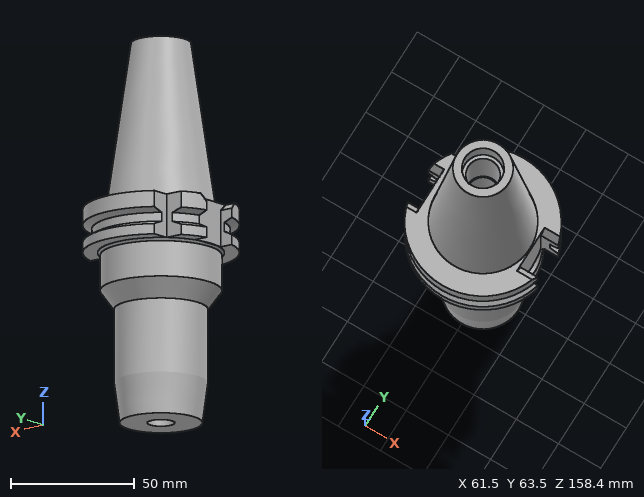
import cadquery as cq

total_height = 158.4
gauge_z = 90.0
flange_top_z = 89.0
groove_top_z = 82.4
groove_root_top_z = 80.8
groove_root_bottom_z = 77.1
groove_bottom_z = 75.2
flange_bottom_z = 71.0
relief_bottom_z = 69.9
shoulder_top_z = 55.1
shoulder_bottom_z = 47.4
nose_taper_z = 16.6

gauge_radius = 22.2
taper_rate = 7 / 24
taper_top_radius = gauge_radius - taper_rate * (total_height - gauge_z) / 2
flange_radius = 31.76
groove_root_radius = 28.0
relief_radius = 25.7
body_radius = 24.7
shank_radius = 19.0
nose_radius = 16.8

through_radius = 5.5
socket_radius = 8.5
socket_depth = 8.5
pilot_radius = 7.0
pilot_depth = 31.7
thread_radius = 6.5
thread_depth = 47.5

slot_width = 15.8
slot_chamfer = 2.9
left_slot_floor = 25.0
right_slot_floor = 22.7
right_slot_end_z = 63.8
notch_x = 18.2
notch_y = 18.2


def revolved_body():
    """Taper, grooved flange, body and nose as one turned profile."""
    profile = [
        (0, 0),
        (nose_radius, 0),
        (shank_radius, nose_taper_z),
        (shank_radius, shoulder_bottom_z),
        (body_radius, shoulder_top_z),
        (body_radius, relief_bottom_z),
        (relief_radius, flange_bottom_z),
        (flange_radius, flange_bottom_z),
        (flange_radius, groove_bottom_z),
        (groove_root_radius, groove_root_bottom_z),
        (groove_root_radius, groove_root_top_z),
        (flange_radius, groove_top_z),
        (flange_radius, flange_top_z),
        (gauge_radius, flange_top_z),
        (gauge_radius, gauge_z),
        (taper_top_radius, total_height),
        (0, total_height),
    ]
    return cq.Workplane("XZ").polyline(profile).close().revolve(360, (0, 0), (0, 1))


def stepped_bore():
    """Through bore with a thread core, pilot and socket stepped out towards the small end of the taper."""
    socket_floor_z = total_height - socket_depth
    pilot_floor_z = total_height - pilot_depth
    thread_floor_z = total_height - thread_depth
    profile = [
        (0, 0),
        (through_radius, 0),
        (through_radius, thread_floor_z),
        (thread_radius, thread_floor_z),
        (thread_radius, pilot_floor_z),
        (pilot_radius, pilot_floor_z),
        (pilot_radius, socket_floor_z),
        (socket_radius, socket_floor_z),
        (socket_radius, total_height),
        (0, total_height),
    ]
    return cq.Workplane("XZ").polyline(profile).close().revolve(360, (0, 0), (0, 1))


def slot_outline(floor_x, bottom_z):
    """Slot outline with a chamfered mouth, on the plane x = floor_x and left open at its lower end."""
    half_width = slot_width / 2
    mouth = half_width + slot_chamfer
    chamfer_z = flange_top_z - slot_chamfer
    return (
        cq.Workplane("YZ", origin=(floor_x, 0, 0))
        .moveTo(-half_width, bottom_z)
        .lineTo(-half_width, chamfer_z)
        .lineTo(-mouth, flange_top_z)
        .lineTo(mouth, flange_top_z)
        .lineTo(half_width, chamfer_z)
        .lineTo(half_width, bottom_z)
    )


def left_slot():
    """Shallow slot with a straight run through the flange."""
    return slot_outline(-left_slot_floor, flange_bottom_z).close().extrude(left_slot_floor - flange_radius)


def right_slot():
    """Deeper slot that runs into the body and ends in a half round."""
    arc_center_z = right_slot_end_z + slot_width / 2
    outline = slot_outline(right_slot_floor, arc_center_z)
    outline = outline.threePointArc((0, right_slot_end_z), (-slot_width / 2, arc_center_z))
    return outline.close().extrude(flange_radius - right_slot_floor)


def orientation_notch():
    """Square-cornered notch in the -X, +Y edge of the flange."""
    return (
        cq.Workplane("XY", origin=(0, 0, flange_bottom_z))
        .moveTo(-notch_x, notch_y)
        .rect(-flange_radius, flange_radius, centered=False)
        .extrude(flange_top_z - flange_bottom_z)
    )


result = revolved_body()
for cutter in (stepped_bore(), left_slot(), right_slot(), orientation_notch()):
    result = result.cut(cutter)